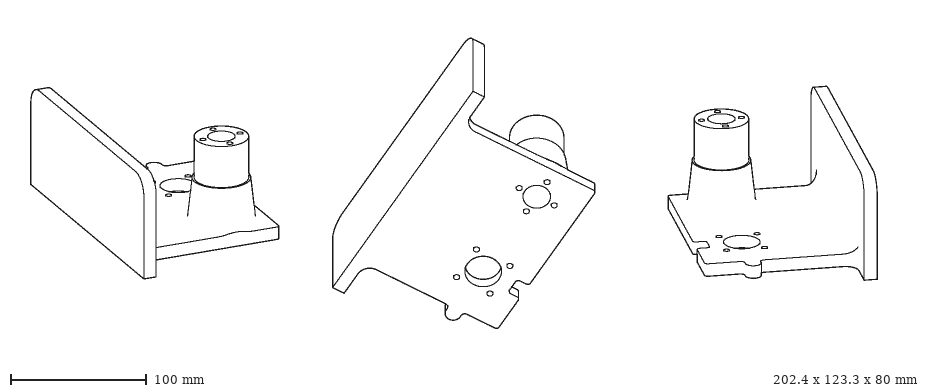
import cadquery as cq
import math

plate_width = 202.4
plate_height = 80.0
plate_corner_radius = 15.0
thickness = 10.0

shelf_width = 142.3
shelf_reach = 123.3
shelf_corner_radius = 2.5
root_radius = 10.0
shelf_edge = shelf_width / 2

feature_y = 88.0
opening_x = -32.4
opening_diameter = 27.0
opening_screw_spacing = 28.5
screw_diameter = 4.5

notch_width = 13.2
notch_depth = 10.1
notch_radius = 2.5

tab_width = 12.0
tab_length = 10.5
tab_root_radius = 3.0

tower_x = 44.7
tower_top = 77.7
tower_diameter = 40.3
tower_bore = 20.2
tower_screw_radius = 15.0
cone_top = 45.1
cone_top_radius = 21.7
cone_base_radius = 25.5
tower_root_radius = 5.0


def make_plate():
    blank = cq.Workplane("XY").box(plate_width, thickness, plate_height, centered=(True, False, False))
    return blank.edges("|Y and >Z").fillet(plate_corner_radius)


def make_shelf():
    shelf = cq.Workplane("XY").box(shelf_width, shelf_reach, thickness, centered=(True, False, False))
    shelf = shelf.edges("|Z and >Y").fillet(shelf_corner_radius)

    notch = (
        cq.Workplane("XY")
        .center(opening_x, shelf_reach)
        .rect(notch_width, 2 * notch_depth)
        .extrude(thickness)
    )
    shelf = shelf.cut(notch)
    for x in (opening_x - notch_width / 2, opening_x + notch_width / 2):
        for y in (shelf_reach - notch_depth, shelf_reach):
            corner = cq.selectors.NearestToPointSelector((x, y, thickness / 2))
            shelf = shelf.edges(corner).fillet(notch_radius)
    return shelf


def make_tab():
    """Tab with a round tip and a concave fillet on each side of its root."""
    tip_radius = tab_width / 2
    root_half_width = tip_radius + tab_root_radius
    tip_start = tab_length - tip_radius
    bend = tab_root_radius * (1 - math.sqrt(0.5))
    return (
        cq.Workplane("XY", origin=(-shelf_edge, feature_y, 0))
        .moveTo(0, root_half_width)
        .threePointArc((-bend, tip_radius + bend), (-tab_root_radius, tip_radius))
        .lineTo(-tip_start, tip_radius)
        .threePointArc((-tab_length, 0), (-tip_start, -tip_radius))
        .lineTo(-tab_root_radius, -tip_radius)
        .threePointArc((-bend, -tip_radius - bend), (0, -root_half_width))
        .lineTo(tab_width, -root_half_width)
        .lineTo(tab_width, root_half_width)
        .close()
        .extrude(thickness)
    )


def make_tower():
    """Cylinder on a tapered base, with the root fillet trimmed at the shelf edge."""
    taper = math.atan2(cone_base_radius - cone_top_radius, cone_top - thickness)
    tangent_length = tower_root_radius * math.tan((math.pi / 2 - taper) / 2)
    foot_radius = cone_base_radius + tangent_length
    centre_z = thickness + tower_root_radius
    cone_end = (
        cone_base_radius - tangent_length * math.sin(taper),
        thickness + tangent_length * math.cos(taper),
    )
    middle_angle = (3 * math.pi / 2 + math.pi + taper) / 2
    arc_middle = (
        foot_radius + tower_root_radius * math.cos(middle_angle),
        centre_z + tower_root_radius * math.sin(middle_angle),
    )
    tower = (
        cq.Workplane("XZ")
        .moveTo(0, 0)
        .lineTo(foot_radius, 0)
        .lineTo(foot_radius, thickness)
        .threePointArc(arc_middle, cone_end)
        .lineTo(cone_top_radius, cone_top)
        .lineTo(tower_diameter / 2, cone_top)
        .lineTo(tower_diameter / 2, tower_top)
        .lineTo(0, tower_top)
        .close()
        .revolve(360, (0, 0, 0), (0, 1, 0))
        .translate((tower_x, feature_y, 0))
    )
    envelope = cq.Workplane("XY").box(
        shelf_width, shelf_reach, tower_top, centered=(True, False, False)
    )
    return tower.intersect(envelope)


def make_holes():
    opening = cq.Workplane("XY").center(opening_x, feature_y)
    tower = cq.Workplane("XY").center(tower_x, feature_y)
    return (
        opening.circle(opening_diameter / 2).extrude(thickness)
        .union(
            opening.rect(opening_screw_spacing, opening_screw_spacing, forConstruction=True)
            .vertices()
            .circle(screw_diameter / 2)
            .extrude(thickness)
        )
        .union(tower.circle(tower_bore / 2).extrude(tower_top))
        .union(
            tower.polarArray(tower_screw_radius, 0, 360, 4)
            .circle(screw_diameter / 2)
            .extrude(tower_top)
        )
    )


bracket = make_plate().union(make_shelf())

for root_point in (
    (0, thickness, thickness),
    (-shelf_edge, thickness, thickness / 2),
    (shelf_edge, thickness, thickness / 2),
):
    root_edge = cq.selectors.NearestToPointSelector(root_point)
    bracket = bracket.edges(root_edge).fillet(root_radius)

result = bracket.union(make_tab()).union(make_tower()).cut(make_holes())